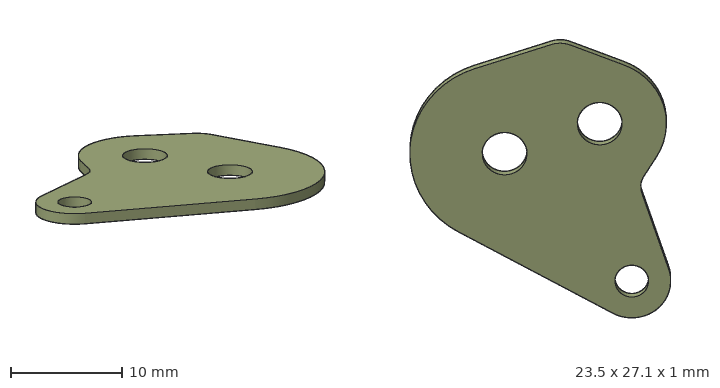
import cadquery as cq
import math

overall_length = 27.1
thickness = 1.0
large_hole_diameter = 4.0
small_hole_diameter = 3.0

right_radius = 8.5
left_radius = 6.0
tail_radius = 3.5
hole_spacing = 9.0
tail_offset_x = 2.0
tail_drop = overall_length - right_radius - tail_radius

flank_angle = 40
top_corner_radius = 2.5
neck_corner_radius = 2.0

left_center = (0, 0)
right_center = (hole_spacing, 0)
tail_center = (tail_offset_x, -tail_drop)


def on_circle(center, radius, degrees):
    angle = math.radians(degrees)
    return (center[0] + radius * math.cos(angle), center[1] + radius * math.sin(angle))


flank_slope = math.tan(math.radians(flank_angle))
upper_flank_start = on_circle(left_center, left_radius, 90 + flank_angle)
lower_flank_start = on_circle(left_center, left_radius, 270 - flank_angle)

top_corner = (
    upper_flank_start[0] + (right_radius - upper_flank_start[1]) / flank_slope,
    right_radius,
)
neck_x = tail_center[0] - tail_radius
neck_corner = (
    neck_x,
    lower_flank_start[1] - (neck_x - lower_flank_start[0]) * flank_slope,
)

center_dx = right_center[0] - tail_center[0]
center_dy = right_center[1] - tail_center[1]
center_angle = math.degrees(math.atan2(center_dy, center_dx))
tangent_offset = math.degrees(
    math.acos((tail_radius - right_radius) / math.hypot(center_dx, center_dy))
)
right_flank_normal = center_angle - tangent_offset

outline = (
    cq.Workplane("XY")
    .moveTo(*top_corner)
    .lineTo(right_center[0], right_radius)
    .threePointArc(
        on_circle(right_center, right_radius, 0),
        on_circle(right_center, right_radius, right_flank_normal),
    )
    .lineTo(*on_circle(tail_center, tail_radius, right_flank_normal))
    .threePointArc(
        on_circle(tail_center, tail_radius, 270),
        on_circle(tail_center, tail_radius, 180),
    )
    .lineTo(*neck_corner)
    .lineTo(*lower_flank_start)
    .threePointArc(on_circle(left_center, left_radius, 180), upper_flank_start)
    .close()
)
plate = outline.extrude(thickness)


def round_corner(body, corner, radius):
    nearest = cq.selectors.NearestToPointSelector((*corner, thickness / 2))
    return body.edges("|Z").edges(nearest).fillet(radius)


plate = round_corner(plate, top_corner, top_corner_radius)
plate = round_corner(plate, neck_corner, neck_corner_radius)

for center, diameter in (
    (left_center, large_hole_diameter),
    (right_center, large_hole_diameter),
    (tail_center, small_hole_diameter),
):
    plate = plate.cut(cq.Workplane("XY").center(*center).circle(diameter / 2).extrude(thickness))

result = plate